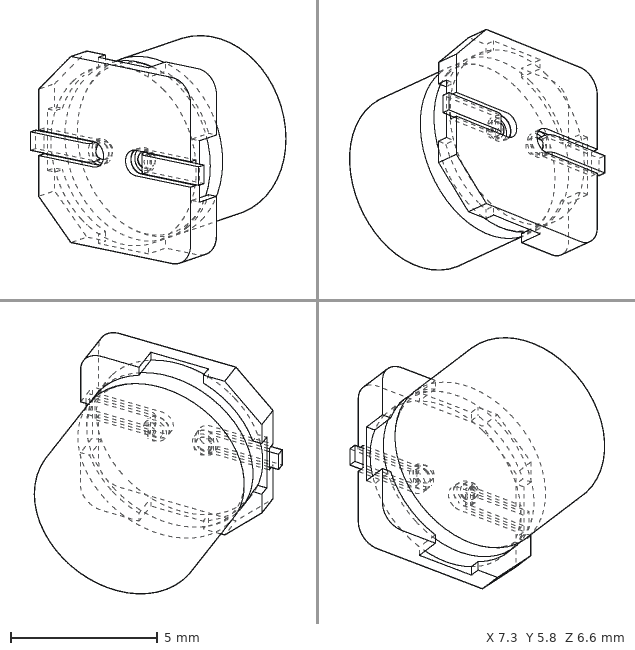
import cadquery as cq
import math

total_height = 5.8
lead_span = 7.3

base_width = 6.6
chamfer = 1.4
corner_radius = 0.8
floor_thickness = 0.5
low_wall_height = 0.89
tall_wall_height = 1.44
notch_width = 2.175

can_radius = 3.15
can_edge_radius = 0.5
groove_center = 1.62
groove_half_width = 0.34
groove_depth = 0.12

lead_thickness = 0.29
lead_width = 0.66
lead_tip = 1.045
slot_width = 0.905
hole_radius = 0.44
hole_center = 0.93
leg_thickness = 0.145
ball_radius = 0.31
ball_height = 0.59

half_base = base_width / 2


def plane_at(height):
    """Sketch plane at a height above the mounting face: local x = X, local y = Z, extrusion along -Y."""
    return cq.Workplane("XZ", origin=(0, height, 0))


def make_base():
    """Square base with two chamfered and two rounded corners, holding the can between its corner walls."""
    base = plane_at(0).rect(base_width, base_width).extrude(-tall_wall_height)
    base = base.edges("|Y and <X").chamfer(chamfer)
    base = base.edges("|Y and >X").fillet(corner_radius)

    step = plane_at(low_wall_height).center(-half_base, 0).rect(base_width, base_width)
    base = base.cut(step.extrude(-tall_wall_height))

    seat = plane_at(floor_thickness).circle(can_radius).extrude(-tall_wall_height)
    base = base.cut(seat)
    for width, depth in ((base_width, notch_width), (notch_width, base_width)):
        base = base.cut(plane_at(floor_thickness).rect(width, depth).extrude(-tall_wall_height))

    for side in (-1, 1):
        base = base.cut(make_lead_opening(side))
    return base


def make_lead_opening(side):
    """Round-ended slot from one side of the base, with a hole through the floor at its inner end."""
    slot_length = half_base - hole_center
    slot_middle = side * (hole_center + slot_length / 2)
    slot = plane_at(0).center(slot_middle, 0).rect(slot_length, slot_width).extrude(-lead_thickness)
    slot_end = plane_at(0).center(side * hole_center, 0).circle(slot_width / 2).extrude(-lead_thickness)
    hole = plane_at(0).center(side * hole_center, 0).circle(hole_radius).extrude(-floor_thickness)
    return slot.union(slot_end).union(hole)


def make_can():
    """Cylindrical can with a rounded top edge, a shallow arc groove and a recess for each lead ball."""
    profile = (
        cq.Workplane("XY")
        .moveTo(0, floor_thickness)
        .lineTo(can_radius, floor_thickness)
        .lineTo(can_radius, groove_center - groove_half_width)
        .threePointArc(
            (can_radius - groove_depth, groove_center),
            (can_radius, groove_center + groove_half_width),
        )
        .lineTo(can_radius, total_height)
        .lineTo(0, total_height)
        .close()
    )
    can = profile.revolve(360, (0, 0, 0), (0, 1, 0))
    can = can.faces(">Y").edges().fillet(can_edge_radius)
    for side in (-1, 1):
        can = can.cut(make_ball(side))
    return can


def make_ball(side):
    """Ball at the inner end of a lead, sunk into a matching recess in the bottom of the can."""
    return cq.Workplane("XZ").sphere(ball_radius).translate((side * hole_center, ball_height, 0))


def make_lead(side):
    """Flat lead strip, bent at its inner end into a short leg up to the can, with a ball joined to it."""
    arc_middle = lead_thickness * (1 - math.sqrt(0.5))
    strip = (
        cq.Workplane("XY", origin=(0, 0, -lead_width / 2))
        .moveTo(side * (lead_tip + leg_thickness), floor_thickness)
        .lineTo(side * lead_tip, floor_thickness)
        .lineTo(side * lead_tip, lead_thickness)
        .threePointArc(
            (side * (lead_tip + arc_middle), arc_middle),
            (side * (lead_tip + lead_thickness), 0),
        )
        .lineTo(side * lead_span / 2, 0)
        .lineTo(side * lead_span / 2, lead_thickness)
        .lineTo(side * (lead_tip + leg_thickness), lead_thickness)
        .close()
        .extrude(lead_width)
    )
    return strip.union(make_ball(side))


base = make_base()
can = make_can()
leads = [make_lead(side) for side in (-1, 1)]

result = cq.Compound.makeCompound([base.val(), can.val(), *[lead.val() for lead in leads]])